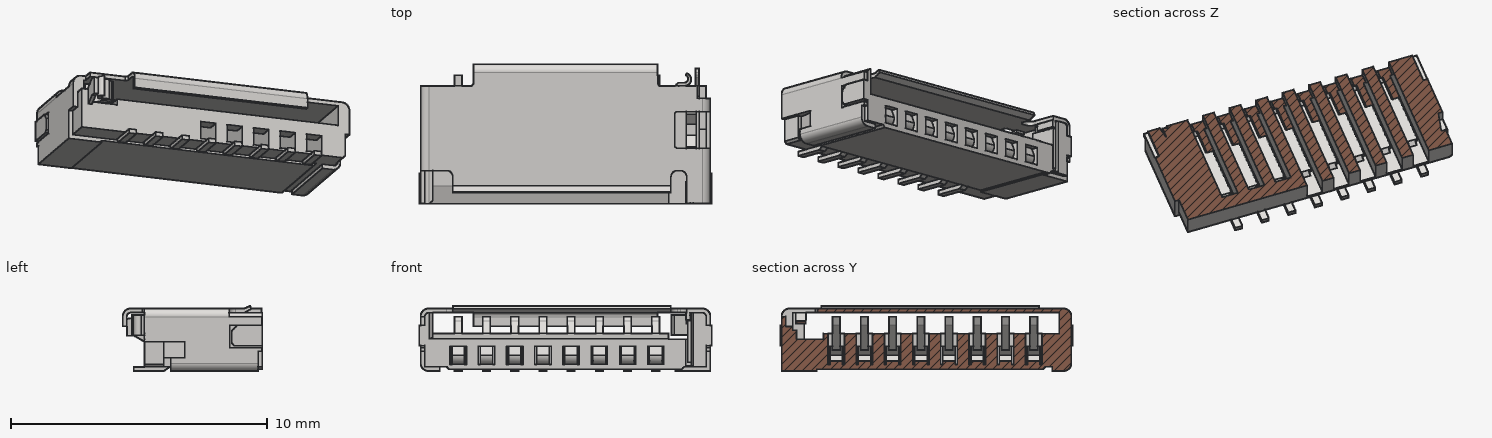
import cadquery as cq

SHEET = 0.17
SHELL_HALF_WIDTH = 5.65
SHELL_TOP = 2.45
SHELL_FRONT, SHELL_BACK = 0.03, 4.6
BEND_RADIUS = 0.32
INNER_RADIUS = BEND_RADIUS - SHEET
INNER_HALF_WIDTH = SHELL_HALF_WIDTH - SHEET
ROOF_BOTTOM = SHELL_TOP - SHEET
LEFT_FOOT_END, RIGHT_FOOT_END = -4.9, 4.27
FOOT_FRONT, FOOT_BACK = 0.17, 3.58
FOOT_NOTCH_TOP = 0.77
RIGHT_WALL_BACK = 4.11
RIGHT_ROOF_END = 5.14

NOTCH_BACK = 1.3
NOTCH_RADIUS = 0.25
NOTCH_WALL_TOP = 2.13
LIP_LEFT, LIP_RIGHT = -4.39, 4.11
LIP_FRONT, LIP_ROOT = 0.43, 0.71
LIP_TOP = 2.55
LIP_TIP_RUN, LIP_TIP_DROP = 0.05, 0.12
SLOT_RIGHT = 4.72
TAB_LEFT, TAB_BACK, TAB_BOTTOM = 4.69, 0.87, 2.0

FLAP_HALF_WIDTH = 3.59
FLAP_BACK = 5.45
FLAP_BOTTOM = 1.75
FLAP_CORNER_RELIEF = 0.08

OPENING_LEFT, OPENING_FRONT, OPENING_BACK = 4.25, 2.17, 3.6
OPENING_WALL_TOP = 2.13
OPENING_CHAMFER = 0.08

PAD_HALF_WIDTH = 5.7
PAD_BOTTOM, PAD_TOP, PAD_BACK = 1.0, 1.79, 1.2
PAD_LOWER_CHAMFER, PAD_UPPER_CHAMFER = 0.1, 0.22
PAD_CLEARANCE = 0.08
KEEL_LEFT, KEEL_RIGHT = -4.64, 4.62
KEEL_BOTTOM, KEEL_CHAMFER = 0.07, 0.1
DECK_TOP, DECK_FRONT_TOP, DECK_RIGHT = 1.48, 1.27, 4.02
LOW_DECK_TOP = 1.25
LEFT_RAIL_INNER, RIGHT_RAIL_INNER = -5.17, 5.21
RAIL_LEAD_IN = 0.14
RAIL_STEP = 2.92
RAIL_UPPER_STEP, RAIL_LOWER_STEP = 1.75, 1.5
BLOCK_LEFT = 4.98
BLOCK_TAPER_DEPTH = 0.5
RECESS_FRONT, RECESS_BACK = 3.02, 3.85
RECESS_BOTTOM, RECESS_TOP = 0.52, 1.15
RECESS_DEPTH = 0.18
CORNER_STEP = 0.05
REAR_BEVEL = 0.1

CONTACT_COUNT = 8
CONTACT_PITCH = 1.1
FIRST_CONTACT_X = -4.18
CONTACT_WIDTH, TAIL_WIDTH = 0.5, 0.3
CONTACT_XS = [FIRST_CONTACT_X + i * CONTACT_PITCH for i in range(CONTACT_COUNT)]
WINDOW_WIDTH = 0.63
WINDOW_BOTTOM, WINDOW_TOP = 0.27, 0.97
DECK_SLOT_FRONT, DECK_SLOT_BACK = 1.26, 4.0
OPEN_CHANNEL_COUNT = 5
STRIP = 0.15
TAIL_BACK, TAIL_BEND, LEG_BACK = 5.02, 3.84, 3.5
HAIRPIN_FRONT = 0.1
HAIRPIN_Z = (WINDOW_BOTTOM + WINDOW_TOP) / 2
LEG_BOTTOM = WINDOW_BOTTOM - 0.02
ARM_FOOT, ARM_KNEE, ARM_TIP = 0.5, 1.5, 2.5
ARM_SHOULDER_Z, ARM_TIP_Z = 1.96, 2.13

SLIDER_LEFT, SLIDER_RIGHT = 4.76, 4.9
SLIDER_FRONT, SLIDER_BOTTOM, SLIDER_TOP = 0.06, 0.35, 1.97
SLIT_LEFT, SLIT_DEPTH = 4.69, 0.1
SLIT_BOTTOM = 0.22
PLATE_LEFT, PLATE_RIGHT = 5.06, RIGHT_RAIL_INNER
PLATE_BACK, PLATE_SLOPE_BACK = 5.28, 5.0
PLATE_ROOT, PLATE_BOTTOM, PLATE_TOP = 1.15, 1.38, 2.07
PLATE_LOW_TOP, PLATE_RISE_FRONT = 1.6, 4.2
PLATE_RISE_BACK, PLATE_CREST, PLATE_CREST_BACK = 4.93, 5.03, 5.13
PLATE_CREST_DROP = 0.03
SPRING_LEFT, SPRING_RIGHT = 4.7, 5.1
SPRING_FRONT, SPRING_BACK = 2.22, 3.5
SPRING_FLAT_FRONT, SPRING_FLAT_BACK = 2.67, 3.1
SPRING_SAG, SPRING_THICKNESS, SPRING_LAP = 0.32, 0.1, 0.2
HOOK_BOTTOM, HOOK_TOP = 1.41, 2.2
HOOK_ROOT_FRONT, HOOK_ROOT_BACK = 3.62, 3.85
HOOK_LEFT, HOOK_BEND_Y = 4.13, 4.47
HOOK_BEND = 0.1
HOOK_STRIP = 0.13
HOOK_STEM_START, HOOK_STEM_END = 0.27, 0.53
HOOK_STEM_Y = 4.6
HOOK_CURL_Y, HOOK_INNER_CURL = 4.88, 0.11
HOOK_TIP_Y, HOOK_TIP_INSET = 5.09, 0.02


def box(x0, x1, y0, y1, z0, z1):
    """Axis-aligned block given by its limits."""
    block = cq.Workplane("XY").box(x1 - x0, y1 - y0, z1 - z0, centered=False)
    return block.translate((x0, y0, z0))


def side_prism(points, x0, x1):
    """Extrude a closed (y, z) outline along X from x0 to x1."""
    return cq.Workplane("YZ").polyline(points).close().extrude(x1 - x0).translate((x0, 0, 0))


def front_prism(points, y0, y1):
    """Extrude a closed (x, z) outline along Y from y0 to y1."""
    return cq.Workplane("XZ").polyline(points).close().extrude(y0 - y1).translate((0, y0, 0))


def plan_prism(points, z0, z1):
    """Extrude a closed (x, y) outline along Z from z0 to z1."""
    return cq.Workplane("XY").polyline(points).close().extrude(z1 - z0).translate((0, 0, z0))


def make_wrapped_sheet():
    """Roof, two side walls and inward-turned feet; the lower right corner is square."""
    outer = box(-SHELL_HALF_WIDTH, SHELL_HALF_WIDTH, SHELL_FRONT, SHELL_BACK, 0, SHELL_TOP)
    outer = outer.edges("|Y and >Z").fillet(BEND_RADIUS)
    outer = outer.edges("|Y and <Z and <X").fillet(BEND_RADIUS)
    inner = box(-INNER_HALF_WIDTH, INNER_HALF_WIDTH, SHELL_FRONT, SHELL_BACK, SHEET, ROOF_BOTTOM)
    inner = inner.edges("|Y and >Z").fillet(INNER_RADIUS)
    inner = inner.edges("|Y and <Z and <X").fillet(INNER_RADIUS)
    bottom_gap = box(LEFT_FOOT_END, RIGHT_FOOT_END, 0, SHELL_BACK, 0, SHEET)
    return outer.cut(inner).cut(bottom_gap)


def cut_side_walls(shell):
    """Trim both side walls and their feet, and open the windows for the housing pads."""
    sides = ((-SHELL_HALF_WIDTH, LEFT_FOOT_END), (RIGHT_FOOT_END, SHELL_HALF_WIDTH))
    for x0, x1 in sides:
        shell = shell.cut(box(x0, x1, 0, FOOT_FRONT, 0, FOOT_NOTCH_TOP))
        shell = shell.cut(box(x0, x1, FOOT_BACK, SHELL_BACK, 0, RECESS_TOP))
    window_back = PAD_BACK + PAD_CLEARANCE
    for x0 in (-SHELL_HALF_WIDTH, INNER_HALF_WIDTH):
        shell = shell.cut(box(x0, x0 + SHEET, 0, window_back, PAD_BOTTOM - PAD_CLEARANCE, PAD_TOP))
    left, left_inner = -SHELL_HALF_WIDTH, -INNER_HALF_WIDTH
    shell = shell.cut(box(left, left_inner, RECESS_FRONT, SHELL_BACK, RECESS_BOTTOM, RECESS_TOP))
    return shell.cut(box(RIGHT_ROOF_END, SHELL_HALF_WIDTH, RIGHT_WALL_BACK, SHELL_BACK, 0, SHELL_TOP))


def shape_roof_front(shell):
    """Corner notch, flared card lip and rounded slot with its downturned tab."""
    notch = box(-SHELL_HALF_WIDTH, LIP_LEFT, 0, NOTCH_BACK, NOTCH_WALL_TOP, SHELL_TOP)
    shell = shell.cut(notch.edges("|Z and >X and >Y").fillet(NOTCH_RADIUS))
    shell = shell.cut(box(LIP_LEFT, LIP_RIGHT, 0, LIP_ROOT, ROOF_BOTTOM, SHELL_TOP))
    slot = box(LIP_RIGHT, SLOT_RIGHT, 0, NOTCH_BACK, ROOF_BOTTOM, SHELL_TOP)
    shell = shell.cut(slot.edges("|Z and >Y").fillet(NOTCH_RADIUS))
    lip = [
        (LIP_ROOT, SHELL_TOP),
        (LIP_FRONT + LIP_TIP_RUN, LIP_TOP),
        (LIP_FRONT, LIP_TOP - LIP_TIP_DROP),
        (LIP_ROOT, ROOF_BOTTOM),
    ]
    shell = shell.union(side_prism(lip, LIP_LEFT, LIP_RIGHT))
    return shell.union(box(TAB_LEFT, TAB_LEFT + SHEET, SHELL_FRONT, TAB_BACK, TAB_BOTTOM, ROOF_BOTTOM))


def make_rear_flap():
    """Rear tongue of the roof, bent down behind the housing."""
    half = FLAP_HALF_WIDTH
    outer = box(-half, half, SHELL_BACK, FLAP_BACK, FLAP_BOTTOM, SHELL_TOP)
    outer = outer.edges("|X and >Y and >Z").fillet(BEND_RADIUS)
    inner = box(-half, half, SHELL_BACK, FLAP_BACK - SHEET, FLAP_BOTTOM, ROOF_BOTTOM)
    inner = inner.edges("|X and >Y and >Z").fillet(INNER_RADIUS)
    flap = outer.cut(inner)
    for side in (-1, 1):
        gusset = [
            (side * half, SHELL_BACK),
            (side * (half + FLAP_CORNER_RELIEF), SHELL_BACK),
            (side * half, SHELL_BACK + FLAP_CORNER_RELIEF),
        ]
        flap = flap.union(plan_prism(gusset, ROOF_BOTTOM, SHELL_TOP))
    return flap


def make_shell():
    shell = shape_roof_front(cut_side_walls(make_wrapped_sheet()))
    opening = box(OPENING_LEFT, SHELL_HALF_WIDTH, OPENING_FRONT, OPENING_BACK, OPENING_WALL_TOP, SHELL_TOP)
    shell = shell.cut(opening.edges("|Z and <X").chamfer(OPENING_CHAMFER))
    return shell.union(make_rear_flap())


def make_floor():
    """Card ramp and deck, the lower deck on the right, and the keel between the feet."""
    ramp = [
        (0, SHEET),
        (0, DECK_FRONT_TOP),
        (LIP_ROOT, DECK_TOP),
        (SHELL_BACK, DECK_TOP),
        (SHELL_BACK, SHEET),
    ]
    keel = [
        (KEEL_LEFT, SHEET),
        (KEEL_LEFT + KEEL_CHAMFER, KEEL_BOTTOM),
        (KEEL_RIGHT - KEEL_CHAMFER, KEEL_BOTTOM),
        (KEEL_RIGHT, SHEET),
    ]
    floor = side_prism(ramp, -INNER_HALF_WIDTH, DECK_RIGHT)
    floor = floor.union(box(DECK_RIGHT, INNER_HALF_WIDTH, 0, SHELL_BACK, SHEET, LOW_DECK_TOP))
    return floor.union(front_prism(keel, 0, FOOT_BACK))


def make_left_rail():
    """Side rail with a lead-in chamfer at the card mouth."""
    outline = [
        (-INNER_HALF_WIDTH, 0),
        (LEFT_RAIL_INNER - RAIL_LEAD_IN, 0),
        (LEFT_RAIL_INNER, RAIL_LEAD_IN),
        (LEFT_RAIL_INNER, SHELL_BACK),
        (-INNER_HALF_WIDTH, SHELL_BACK),
    ]
    rail = plan_prism(outline, DECK_FRONT_TOP, ROOF_BOTTOM)
    return rail.edges("|Y and >Z and <X").fillet(INNER_RADIUS)


def make_right_rail():
    """Tapered front block and a side rail that steps down under the roof opening."""
    block = [
        (INNER_HALF_WIDTH, 0),
        (BLOCK_LEFT, 0),
        (SLIDER_RIGHT, BLOCK_TAPER_DEPTH),
        (SLIDER_RIGHT, PAD_BACK),
        (INNER_HALF_WIDTH, PAD_BACK),
    ]
    rail = box(RIGHT_RAIL_INNER, INNER_HALF_WIDTH, 0, SHELL_BACK, LOW_DECK_TOP, ROOF_BOTTOM)
    rail = rail.union(plan_prism(block, SHEET, ROOF_BOTTOM))
    rail = rail.edges("|Y and >Z and >X").fillet(INNER_RADIUS)
    steps = (
        (OPENING_FRONT, RAIL_STEP, RAIL_UPPER_STEP),
        (RAIL_STEP, OPENING_BACK, RAIL_LOWER_STEP),
        (RIGHT_WALL_BACK, SHELL_BACK, RAIL_UPPER_STEP),
    )
    for y0, y1, top in steps:
        rail = rail.cut(box(RIGHT_RAIL_INNER, INNER_HALF_WIDTH, y0, y1, top, ROOF_BOTTOM))
    return rail


def make_pad(side):
    """Boss that fills a shell window; side is -1 (left) or +1 (right)."""
    outline = [
        (0, PAD_BOTTOM),
        (PAD_BACK - PAD_LOWER_CHAMFER, PAD_BOTTOM),
        (PAD_BACK, PAD_BOTTOM + PAD_LOWER_CHAMFER),
        (PAD_BACK, PAD_TOP - PAD_UPPER_CHAMFER),
        (PAD_BACK - PAD_UPPER_CHAMFER, PAD_TOP),
        (0, PAD_TOP),
    ]
    x0, x1 = sorted((side * INNER_HALF_WIDTH, side * PAD_HALF_WIDTH))
    return side_prism(outline, x0, x1)


def cut_left_rear(housing):
    """Wedge-shaped recess, corner step and bottom bevel at the rear of the left side."""
    wall = -INNER_HALF_WIDTH
    wedge = [(wall, RECESS_FRONT), (wall, RECESS_BACK), (wall + RECESS_DEPTH, RECESS_BACK)]
    bevel = [(wall, SHEET), (wall, SHEET + REAR_BEVEL), (wall + REAR_BEVEL, SHEET)]
    housing = housing.cut(plan_prism(wedge, RECESS_BOTTOM, RECESS_TOP))
    housing = housing.cut(box(wall, wall + CORNER_STEP, FOOT_BACK, RECESS_BACK, SHEET, RECESS_BOTTOM))
    return housing.cut(front_prism(bevel, RECESS_BACK, SHELL_BACK))


def cut_contact_channels(housing):
    """Front windows running back through the floor, each opening upward through the deck."""
    for index, x in enumerate(CONTACT_XS):
        left, right = x - WINDOW_WIDTH / 2, x + WINDOW_WIDTH / 2
        back = SHELL_BACK if index < OPEN_CHANNEL_COUNT else DECK_SLOT_BACK
        housing = housing.cut(box(left, right, 0, back, WINDOW_BOTTOM, WINDOW_TOP))
        housing = housing.cut(box(left, right, DECK_SLOT_FRONT, DECK_SLOT_BACK, WINDOW_BOTTOM, DECK_TOP))
    return housing


def make_housing():
    housing = make_floor()
    housing = housing.cut(box(SLIT_LEFT, SLIDER_RIGHT, 0, SLIT_DEPTH, SLIT_BOTTOM, LOW_DECK_TOP))
    housing = housing.cut(box(SLIDER_RIGHT, BLOCK_LEFT, 0, BLOCK_TAPER_DEPTH, SLIT_BOTTOM, LOW_DECK_TOP))
    housing = housing.union(make_left_rail()).union(make_right_rail())
    housing = cut_contact_channels(cut_left_rear(housing))
    return housing.union(make_pad(-1)).union(make_pad(1))


def make_hairpin(x):
    """Lower leg ending in a rounded hairpin behind the front window."""
    bend_back = HAIRPIN_FRONT + HAIRPIN_Z - LEG_BOTTOM
    leg_top = LEG_BOTTOM + STRIP
    inner_front = HAIRPIN_FRONT + STRIP
    hairpin = (
        cq.Workplane("YZ")
        .moveTo(LEG_BACK, LEG_BOTTOM)
        .lineTo(bend_back, LEG_BOTTOM)
        .tangentArcPoint((HAIRPIN_FRONT, HAIRPIN_Z), relative=False)
        .lineTo(inner_front, WINDOW_TOP)
        .lineTo(ARM_FOOT + STRIP, WINDOW_TOP)
        .lineTo(inner_front, HAIRPIN_Z)
        .lineTo(bend_back, leg_top)
        .lineTo(LEG_BACK, leg_top)
        .close()
        .extrude(CONTACT_WIDTH)
    )
    return hairpin.translate((x - CONTACT_WIDTH / 2, 0, 0))


def make_contact(x):
    """Spring contact: solder tail, lower leg, front hairpin and rising upper arm."""
    arm_bottom = WINDOW_TOP - STRIP
    arm = [
        (ARM_FOOT, arm_bottom),
        (ARM_FOOT, WINDOW_TOP),
        (ARM_KNEE, WINDOW_TOP),
        (ARM_TIP - STRIP, ARM_SHOULDER_Z),
        (ARM_TIP, ARM_TIP_Z),
        (ARM_TIP + STRIP, ARM_TIP_Z),
        (ARM_TIP, ARM_SHOULDER_Z - STRIP),
        (ARM_KNEE + STRIP, arm_bottom),
    ]
    tail = [
        (TAIL_BACK, 0),
        (TAIL_BEND, 0),
        (LEG_BACK, LEG_BOTTOM),
        (LEG_BACK, LEG_BOTTOM + STRIP),
        (TAIL_BEND, SHEET),
        (TAIL_BACK, SHEET),
    ]
    left, right = x - TAIL_WIDTH / 2, x + TAIL_WIDTH / 2
    return make_hairpin(x).union(side_prism(arm, left, right)).union(side_prism(tail, left, right))


def make_plate():
    """Upright terminal plate standing on the low deck, rising and reaching out at the back."""
    outline = [
        (PAD_BACK, PLATE_ROOT),
        (SHELL_BACK, PLATE_ROOT),
        (PLATE_SLOPE_BACK, PLATE_BOTTOM),
        (PLATE_BACK, PLATE_BOTTOM),
        (PLATE_BACK, PLATE_TOP - PLATE_CREST_DROP),
        (PLATE_CREST_BACK, PLATE_TOP),
        (PLATE_CREST, PLATE_TOP),
        (PLATE_RISE_BACK, PLATE_TOP - PLATE_CREST_DROP),
        (PLATE_RISE_FRONT, PLATE_LOW_TOP),
        (PAD_BACK, PLATE_LOW_TOP),
    ]
    return side_prism(outline, PLATE_LEFT, PLATE_RIGHT)


def make_spring():
    """Leaf that hangs from the roof and sags across the opening."""
    top, low = ROOF_BOTTOM, ROOF_BOTTOM - SPRING_SAG
    upper = [
        (SPRING_FRONT - SPRING_LAP, top),
        (SPRING_FRONT, top),
        (SPRING_FLAT_FRONT, low),
        (SPRING_FLAT_BACK, low),
        (SPRING_BACK, top),
        (SPRING_BACK + SPRING_LAP, top),
    ]
    lower = [(y, z - SPRING_THICKNESS) for y, z in reversed(upper)]
    return side_prism(upper + lower, SPRING_LEFT, SPRING_RIGHT)


def make_hook():
    """Diagonal leaf from the plate to the rear, ending in a hook behind the housing."""
    bend_x = HOOK_LEFT + HOOK_BEND
    stem_left, stem_right = HOOK_LEFT + HOOK_STEM_START, HOOK_LEFT + HOOK_STEM_END
    curl_x = stem_right + HOOK_INNER_CURL
    hook = (
        cq.Workplane("XY")
        .moveTo(PLATE_LEFT, HOOK_ROOT_FRONT)
        .lineTo(bend_x, HOOK_BEND_Y - HOOK_BEND)
        .threePointArc((HOOK_LEFT, HOOK_BEND_Y), (bend_x, HOOK_BEND_Y + HOOK_BEND))
        .lineTo(stem_left, HOOK_STEM_Y + HOOK_STRIP)
        .lineTo(stem_right, HOOK_STEM_Y + HOOK_STRIP)
        .threePointArc((curl_x, HOOK_CURL_Y), (stem_right + HOOK_TIP_INSET, HOOK_TIP_Y - HOOK_STRIP / 2))
        .lineTo(stem_right + HOOK_STRIP / 2, HOOK_TIP_Y)
        .threePointArc((curl_x + HOOK_STRIP, HOOK_CURL_Y), (stem_right, HOOK_STEM_Y))
        .lineTo(stem_left, HOOK_STEM_Y)
        .lineTo(PLATE_LEFT, HOOK_ROOT_BACK)
        .close()
        .extrude(HOOK_TOP - HOOK_BOTTOM)
    )
    return hook.translate((0, 0, HOOK_BOTTOM))


def make_switch():
    slider = box(SLIDER_LEFT, SLIDER_RIGHT, SLIDER_FRONT, PAD_BACK, SLIDER_BOTTOM, SLIDER_TOP)
    return slider.union(make_plate()).union(make_spring()).union(make_hook())


result = make_shell().union(make_housing())
for contact_x in CONTACT_XS:
    result = result.union(make_contact(contact_x))
result = result.union(make_switch())